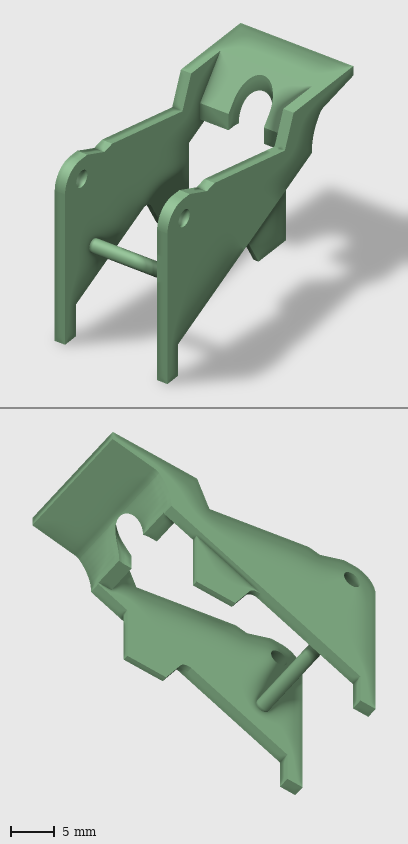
import cadquery as cq

width = 15.7
length = 36.9
height = 23.5
wall = 1.45
inner_width = width - 2 * wall

pivot_radius = 3.03
pivot_hole_radius = 1.1
pivot_y = 3.32
pivot_z = 20.8
foot_depth = 2.15
foot_height = 4.3
heel_y = 28.67
heel_z = 16.1
pivot_flat_end_y = 4.43
notch_bottom = (7.82, 22.05)
notch_crest = (9.37, 22.35)
shoulder_foot = (23.32, 19.3)
shoulder_top_y = 25.05

tip_bottom_z = 22.2
tip_slope_end = (31.07, 21.07)
tip_round_middle = (30.7, 20.95)
hollow_start = (30.37, 20.75)
hollow_middle = (29.3, 19.1)

lug_recess = 0.75
lug_back_y = 24.6
lug_front_y = 19.15
lug_bottom_z = 6.13
lug_round_start = (17.2, 9.6)
lug_round_middle = (16.53, 10.22)
lug_round_end_y = 15.65

bridge_top_front_y = 30.9
bridge_nose_y = 26.83
bridge_nose_top_z = 18.52
bridge_bottom_z = 16.3

slot_width = 4.9
slot_center_y = 27.85

rod_radius = 0.9
rod_y = 5.7
rod_z = 10.5


def underside_z(y):
    """Height of the plate's sloping lower edge at a given Y."""
    slope = (heel_z - foot_height) / (heel_y - foot_depth)
    return foot_height + slope * (y - foot_depth)


def extrude_centered(profile, distance):
    """Extrude a YZ profile equally to both sides of the middle plane."""
    return profile.extrude(distance / 2, both=True)


def draw_tip_underside(profile):
    """Add the underside from the tip edge down to the heel."""
    return (
        profile.lineTo(length, tip_bottom_z)
        .lineTo(*tip_slope_end)
        .threePointArc(tip_round_middle, hollow_start)
        .threePointArc(hollow_middle, (heel_y, heel_z))
    )


def make_lugs():
    """Full-width lug block, later split into two by the gap between the plates."""
    profile = (
        cq.Workplane("YZ")
        .moveTo(lug_back_y, underside_z(lug_back_y))
        .lineTo(lug_back_y, lug_bottom_z)
        .lineTo(lug_front_y, lug_bottom_z)
        .lineTo(*lug_round_start)
        .threePointArc(lug_round_middle, (lug_round_end_y, underside_z(lug_round_end_y)))
        .close()
    )
    return extrude_centered(profile, width - 2 * lug_recess)


def make_plates():
    corner_offset = pivot_radius * 0.5 ** 0.5
    profile = (
        cq.Workplane("YZ")
        .moveTo(0, 0)
        .lineTo(0, height - pivot_radius)
        .threePointArc(
            (pivot_radius - corner_offset, height - pivot_radius + corner_offset),
            (pivot_radius, height),
        )
        .lineTo(pivot_flat_end_y, height)
        .lineTo(*notch_bottom)
        .lineTo(*notch_crest)
        .lineTo(*shoulder_foot)
        .lineTo(shoulder_top_y, height)
        .lineTo(length, height)
    )
    profile = (
        draw_tip_underside(profile)
        .lineTo(foot_depth, foot_height)
        .lineTo(foot_depth, 0)
        .close()
    )
    solid = extrude_centered(profile, width).union(make_lugs())
    gap = cq.Workplane("XY").box(inner_width, length, height, centered=(True, False, False))
    pivot_hole = extrude_centered(
        cq.Workplane("YZ").center(pivot_y, pivot_z).circle(pivot_hole_radius), width
    )
    return solid.cut(gap).cut(pivot_hole)


def make_bridge():
    profile = cq.Workplane("YZ").moveTo(bridge_top_front_y, height).lineTo(length, height)
    profile = (
        draw_tip_underside(profile)
        .lineTo(bridge_nose_y, heel_z)
        .lineTo(bridge_nose_y, bridge_nose_top_z)
        .close()
    )
    below = cq.Workplane("XY").box(width, length, bridge_bottom_z, centered=(True, False, False))
    return extrude_centered(profile, inner_width).cut(below).cut(make_slot())


def make_slot():
    """Vertical slot with a round end, open toward the pivot end."""
    round_end = cq.Workplane("XY").center(0, slot_center_y).circle(slot_width / 2).extrude(height)
    opening = cq.Workplane("XY").box(
        slot_width, slot_center_y, height, centered=(True, False, False)
    )
    return round_end.union(opening)


def make_rod():
    return extrude_centered(cq.Workplane("YZ").center(rod_y, rod_z).circle(rod_radius), width - wall)


result = make_plates().union(make_bridge()).union(make_rod())